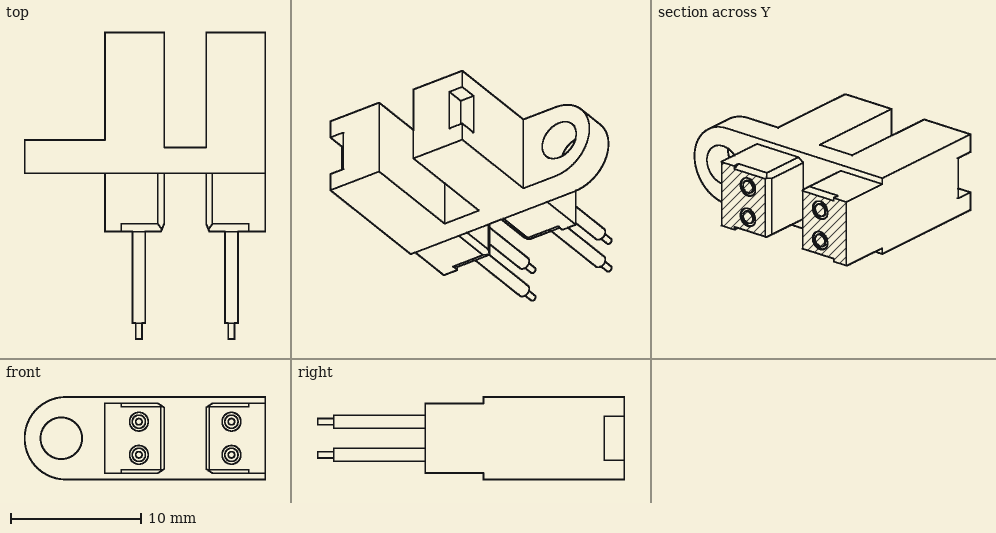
import cadquery as cq

height = 6.35
total_length = 23.5

slot_half_width = 1.6
arm_outer_x = 6.15
tab_end_x = -12.31
plate_front_y = 12.7
slot_bottom_y = 14.69
tab_back_y = 15.28
hole_center_x = tab_end_x + 2.82
hole_diameter = 3.17

recess_length = 1.53
recess_height = 3.35
recess_depth = 1.2

block_front_y = 8.22
block_height = 5.35
block_length = plate_front_y - block_front_y
corner_chamfer_x = 0.5
corner_chamfer_z = 0.33
taper_length = 0.6
side_taper_depth = 0.25
top_taper_depth = 0.28
top_taper_outer_x = arm_outer_x - 1.27

wire_x = 3.55
wire_z = 1.27
wire_diameter = 1.0
core_diameter = 0.5
core_length = 1.22
wire_hole_diameter = 1.43
wire_hole_depth = 0.19


def box(x_min, x_max, y_min, y_max, z_size):
    """Box between X and Y limits, centered in Z."""
    base = cq.Workplane("XY", origin=(0, 0, -z_size / 2)).moveTo(x_min, y_min)
    return base.lineTo(x_max, y_min).lineTo(x_max, y_max).lineTo(x_min, y_max).close().extrude(z_size)


def rod(diameter, y_min, y_max, z):
    """Cylinder along Y on a wire axis."""
    plane = cq.Workplane("XZ", origin=(wire_x, y_max, z))
    return plane.circle(diameter / 2).extrude(y_max - y_min)


def make_tab_plate():
    """Mounting plate with a round end and a through hole."""
    round_center_x = tab_end_x + height / 2
    plate_thickness = tab_back_y - plate_front_y
    plate = (
        cq.Workplane("XZ", origin=(0, tab_back_y, 0))
        .moveTo(arm_outer_x, -height / 2)
        .lineTo(round_center_x, -height / 2)
        .threePointArc((tab_end_x, 0), (round_center_x, height / 2))
        .lineTo(arm_outer_x, height / 2)
        .close()
        .extrude(plate_thickness)
    )
    hole = (
        cq.Workplane("XZ", origin=(hole_center_x, tab_back_y, 0))
        .circle(hole_diameter / 2)
        .extrude(plate_thickness)
    )
    return plate.cut(hole)


def make_arm():
    """Right-hand arm with the recess at its tip."""
    arm = box(slot_half_width, arm_outer_x, plate_front_y, total_length, height)
    recess = box(
        arm_outer_x - recess_depth, arm_outer_x, total_length - recess_length, total_length, recess_height
    )
    return arm.cut(recess)


def make_block():
    """Right-hand terminal block with chamfered inner corners and a tapered front."""
    half_height = block_height / 2
    shoulder_z = half_height - corner_chamfer_z
    chamfer_end_x = slot_half_width + corner_chamfer_x
    block = (
        cq.Workplane("XZ", origin=(0, plate_front_y, 0))
        .polyline([
            (arm_outer_x, -half_height),
            (arm_outer_x, half_height),
            (chamfer_end_x, half_height),
            (slot_half_width, shoulder_z),
            (slot_half_width, -shoulder_z),
            (chamfer_end_x, -half_height),
        ])
        .close()
        .extrude(block_length)
    )
    taper_back_y = block_front_y + taper_length
    side_wedge = (
        cq.Workplane("XY", origin=(0, 0, -half_height))
        .polyline([
            (slot_half_width, block_front_y),
            (slot_half_width + side_taper_depth, block_front_y),
            (slot_half_width, taper_back_y),
        ])
        .close()
        .extrude(block_height)
    )
    top_wedge = (
        cq.Workplane("YZ", origin=(slot_half_width, 0, 0))
        .polyline([
            (block_front_y, half_height),
            (block_front_y, half_height - top_taper_depth),
            (taper_back_y, half_height),
        ])
        .close()
        .extrude(top_taper_outer_x - slot_half_width)
    )
    return block.cut(side_wedge).cut(top_wedge).cut(top_wedge.mirror("XY"))


def add_wires(block):
    """Two stripped wires, each in a shallow counterbore in the block."""
    for z in (-wire_z, wire_z):
        block = block.cut(rod(wire_hole_diameter, block_front_y, block_front_y + wire_hole_depth, z))
        block = block.union(rod(wire_diameter, core_length, plate_front_y, z))
        block = block.union(rod(core_diameter, 0, core_length, z))
    return block


def make_side():
    """Everything that is mirrored about the middle of the slot."""
    return make_arm().union(add_wires(make_block()))


web = box(-arm_outer_x, arm_outer_x, plate_front_y, slot_bottom_y, height)
slot = box(-slot_half_width, slot_half_width, slot_bottom_y, total_length, height)
side = make_side()
result = make_tab_plate().cut(slot).union(web).union(side).union(side.mirror("YZ"))